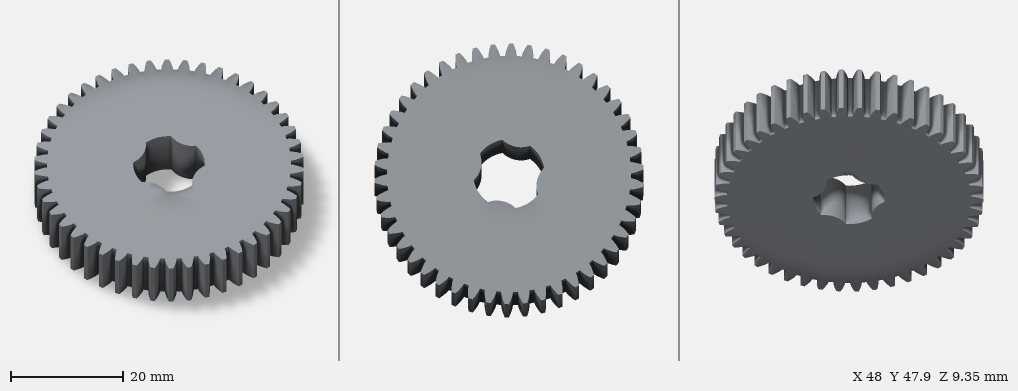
import cadquery as cq
import math

OUTER_DIAMETER = 48.0
THICKNESS = 9.35
TOOTH_COUNT = 46
PRESSURE_ANGLE = math.radians(20)
DEDENDUM_FACTOR = 1.25

BORE_RADIUS = 6.4
LOBE_COUNT = 4
LOBE_RADIUS = 4.6
LOBE_CENTRE_DISTANCE = 9.75

MODULE = OUTER_DIAMETER / (TOOTH_COUNT + 2)
PITCH_RADIUS = MODULE * TOOTH_COUNT / 2
OUTER_RADIUS = OUTER_DIAMETER / 2
ROOT_RADIUS = PITCH_RADIUS - DEDENDUM_FACTOR * MODULE
BASE_RADIUS = PITCH_RADIUS * math.cos(PRESSURE_ANGLE)
TOOTH_PITCH_ANGLE = 2 * math.pi / TOOTH_COUNT
FLANK_STEPS = 4


def polar(radius, angle):
    return (radius * math.cos(angle), radius * math.sin(angle))


def involute(angle):
    return math.tan(angle) - angle


def half_tooth_angle(radius):
    """Half the angle a tooth with involute flanks spans at the given radius."""
    local_pressure_angle = math.acos(BASE_RADIUS / radius)
    return TOOTH_PITCH_ANGLE / 4 + involute(PRESSURE_ANGLE) - involute(local_pressure_angle)


def gear_blank():
    """Toothed disc with one tooth centred on +X."""
    depth_step = (OUTER_RADIUS - ROOT_RADIUS) / FLANK_STEPS
    flank_radii = [ROOT_RADIUS + i * depth_step for i in range(FLANK_STEPS + 1)]
    root_half_angle = half_tooth_angle(ROOT_RADIUS)

    outline = cq.Workplane("XY").moveTo(*polar(ROOT_RADIUS, -root_half_angle))
    for tooth in range(TOOTH_COUNT):
        centre = tooth * TOOTH_PITCH_ANGLE
        rising = [polar(r, centre - half_tooth_angle(r)) for r in flank_radii]
        falling = [polar(r, centre + half_tooth_angle(r)) for r in reversed(flank_radii)]
        gap_middle = polar(ROOT_RADIUS, centre + TOOTH_PITCH_ANGLE / 2)
        next_root = polar(ROOT_RADIUS, centre + TOOTH_PITCH_ANGLE - root_half_angle)

        outline = outline.spline(rising[1:], includeCurrent=True)
        outline = outline.threePointArc(polar(OUTER_RADIUS, centre), falling[0])
        outline = outline.spline(falling[1:], includeCurrent=True)
        outline = outline.threePointArc(gap_middle, next_root)
    return outline.close().extrude(THICKNESS)


def bore_cutter():
    """Through-hole shape: a cylinder scalloped on the X and Y axes."""
    cylinder = cq.Workplane("XY").circle(BORE_RADIUS).extrude(THICKNESS)
    lobes = (
        cq.Workplane("XY")
        .polarArray(LOBE_CENTRE_DISTANCE, 0, 360, LOBE_COUNT)
        .circle(LOBE_RADIUS)
        .extrude(THICKNESS)
    )
    return cylinder.cut(lobes)


result = gear_blank().cut(bore_cutter())